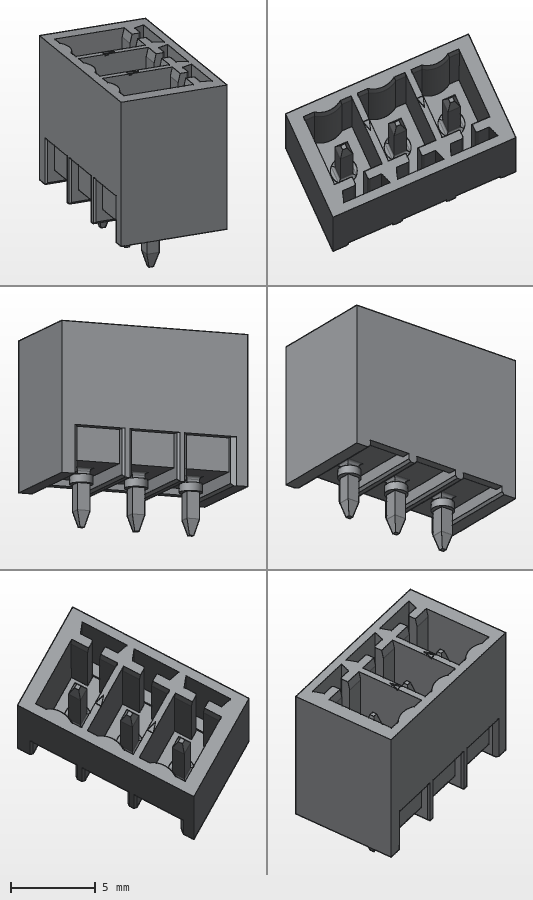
import cadquery as cq
import math


pole_count = 3
pitch = 3.5
length = 11.9
width = 6.9
height = 9.2
front_y = -width / 2
back_y = width / 2

floor_underside = 0.9
floor_thickness = 0.6
floor_top = floor_underside + floor_thickness
web_thickness = 0.4
cavity_half = (pitch - web_thickness) / 2
end_wall_draft = 0.05
cavity_front_y = -2.86
cavity_back_y = 1.67
lead_in = 0.13
lead_in_height = 0.57
bump_radius = 1.44
bump_crest_y = -2.58

keyway_back_y = 2.9
keyway_front_y = 2.21
keyway_back_half = 1.51
keyway_front_half = 1.26
neck_half = 0.4
neck_fillet = 0.12
keyway_floor_step = 0.24

arrow_length = 0.68
arrow_depth = 0.1

foot_web_half = 0.31
foot_end_x = 4.94
foot_chamfer = 0.15
recess_depth = 0.52
recess_top = 2.96
recess_bevel_x = 0.15
recess_bevel_y = 0.1
right_bevel_x = 0.3
right_bevel_y = 0.25
back_skirt_underside = 0.51

pin_y = -0.45
pin_half = 0.4
pin_top = 8.0
pin_bottom = -2.61
tip_half = 0.14
tip_length = 0.96
root_fillet = 0.18
seat_radius = 0.8
seat_rise = 0.05
seat_top = floor_top + seat_rise
collar_diameter = 1.39
collar_height = back_skirt_underside

pole_positions = [(i - (pole_count - 1) / 2) * pitch for i in range(pole_count)]
web_positions = [(a + b) / 2 for a, b in zip(pole_positions, pole_positions[1:])]


def box(x0, x1, y0, y1, z0, z1):
    return cq.Workplane("XY").box(x1 - x0, y1 - y0, z1 - z0, centered=False).translate((x0, y0, z0))


def prism_along_y(points, y0, y1):
    """Extrude an (x, z) outline from y0 to y1."""
    return cq.Workplane("XZ", origin=(0, y0, 0)).polyline(points).close().extrude(y0 - y1)


def prism_along_z(points, z0, z1):
    """Extrude an (x, y) outline from z0 to z1."""
    return cq.Workplane("XY", origin=(0, 0, z0)).polyline(points).close().extrude(z1 - z0)


def lead_in_rail(wall_y, inward):
    """Wall strip with a sloped top edge; inward is the Y direction into the cavity."""
    face_y = wall_y + inward * lead_in
    outline = [(wall_y, 0), (face_y, 0), (face_y, height - lead_in_height), (wall_y, height)]
    return (
        cq.Workplane("YZ", origin=(-length / 2, 0, 0))
        .polyline(outline)
        .close()
        .extrude(length)
    )


def bump(x):
    """Rounded rib on the front wall that narrows along the lead-in."""
    base_radius = bump_radius + lead_in
    outline = [
        (0, 0),
        (base_radius, 0),
        (base_radius, height - lead_in_height),
        (bump_radius, height),
        (0, height),
    ]
    rib = cq.Workplane("XZ").polyline(outline).close().revolve(360, (0, 0), (0, 1))
    return rib.translate((x, bump_crest_y - bump_radius, 0))


def cavity(x):
    """Plug space of one pole; only the housing end walls are drafted."""
    left_draft = end_wall_draft if x == pole_positions[0] else 0
    right_draft = end_wall_draft if x == pole_positions[-1] else 0
    outline = [
        (x - cavity_half + left_draft, floor_top),
        (x + cavity_half - right_draft, floor_top),
        (x + cavity_half, height),
        (x - cavity_half, height),
    ]
    space = prism_along_y(outline, cavity_front_y, cavity_back_y)
    space = space.cut(lead_in_rail(cavity_front_y, 1))
    space = space.cut(lead_in_rail(cavity_back_y, -1))
    return space.cut(bump(x))


def keyway(x):
    """Dovetail pocket on a raised floor, joined to the cavity by a neck with rounded corners."""
    neck_front_y = cavity_back_y - lead_in
    outline = [
        (-keyway_back_half, keyway_back_y),
        (-keyway_front_half, keyway_front_y),
        (-neck_half, keyway_front_y),
        (-neck_half, neck_front_y),
        (neck_half, neck_front_y),
        (neck_half, keyway_front_y),
        (keyway_front_half, keyway_front_y),
        (keyway_back_half, keyway_back_y),
    ]
    neck_corners = cq.selectors.BoxSelector(
        (-neck_half - neck_fillet, keyway_front_y - neck_fillet, floor_top),
        (neck_half + neck_fillet, keyway_front_y + neck_fillet, height),
    )
    slot = prism_along_z(outline, floor_top, height).edges("|Z").edges(neck_corners).fillet(neck_fillet)
    raised_floor = box(
        -keyway_back_half,
        keyway_back_half,
        keyway_front_y,
        keyway_back_y,
        floor_top,
        floor_top + keyway_floor_step,
    )
    return slot.cut(raised_floor).translate((x, 0, 0))


def arrow_mark(x):
    half = web_thickness / 2
    base_y = pin_y - arrow_length
    outline = [(x - half, base_y), (x + half, base_y), (x, pin_y)]
    return prism_along_z(outline, height - arrow_depth, height)


def foot_gap(left, right, top):
    """(x, z) outline of the gap between two feet, widened by their bottom chamfers."""
    return [
        (left - foot_chamfer, 0),
        (left, foot_chamfer),
        (left, top),
        (right, top),
        (right, foot_chamfer),
        (right + foot_chamfer, 0),
    ]


def underside_bay(x):
    """Space between the feet below one pole, with the recess in the front wall."""
    left = -foot_end_x if x == pole_positions[0] else x - pitch / 2 + foot_web_half
    is_last = x == pole_positions[-1]
    right = foot_end_x if is_last else x + pitch / 2 - foot_web_half
    bevel_x = right_bevel_x if is_last else recess_bevel_x
    bevel_y = right_bevel_y if is_last else recess_bevel_y
    skirt_front_y = keyway_back_y

    recess = [
        (left - recess_bevel_x, front_y),
        (left, front_y + recess_bevel_y),
        (left, front_y + recess_depth),
        (right, front_y + recess_depth),
        (right, front_y + bevel_y),
        (right + bevel_x, front_y),
    ]
    floor_space = foot_gap(left, right, floor_underside)
    skirt_space = foot_gap(left, right, back_skirt_underside)
    bay = prism_along_y(floor_space, front_y, skirt_front_y)
    bay = bay.union(prism_along_y(skirt_space, skirt_front_y, back_y))
    return bay.union(prism_along_z(recess, 0, recess_top))


def pin_profile(plane):
    """Pin side outline with pointed ends and coves at the floor and the seat, extruded thick."""
    root_half = pin_half + root_fillet
    cove_mid = root_half - root_fillet * math.sqrt(0.5)
    cove_rise = root_fillet * (1 - math.sqrt(0.5))
    return (
        cq.Workplane(plane)
        .moveTo(0, pin_bottom)
        .lineTo(tip_half, pin_bottom)
        .lineTo(pin_half, pin_bottom + tip_length)
        .lineTo(pin_half, floor_underside - root_fillet)
        .threePointArc((cove_mid, floor_underside - cove_rise), (root_half, floor_underside))
        .lineTo(root_half, seat_top)
        .threePointArc((cove_mid, seat_top + cove_rise), (pin_half, seat_top + root_fillet))
        .lineTo(pin_half, pin_top - tip_length)
        .lineTo(tip_half, pin_top)
        .lineTo(0, pin_top)
        .mirrorY()
        .extrude(root_half, both=True)
    )


def pin(x):
    """Square pin rooted in a low round seat on the cavity floor, with a collar below the floor."""
    root_clip = (
        cq.Workplane("XY", origin=(0, 0, pin_bottom))
        .circle(seat_radius)
        .extrude(pin_top - pin_bottom)
    )
    collar = cq.Workplane("XY").circle(collar_diameter / 2).extrude(collar_height)
    body = pin_profile("XZ").intersect(pin_profile("YZ")).intersect(root_clip)
    seat = (
        cq.Workplane("XY", origin=(0, 0, floor_underside))
        .circle(seat_radius)
        .extrude(seat_top - floor_underside)
    )
    return body.union(seat).union(collar).translate((x, pin_y, 0))


result = box(-length / 2, length / 2, front_y, back_y, 0, height)
for pole_x in pole_positions:
    result = result.cut(cavity(pole_x)).cut(keyway(pole_x)).cut(underside_bay(pole_x))
for web_x in web_positions:
    result = result.cut(arrow_mark(web_x))
for pole_x in pole_positions:
    result = result.union(pin(pole_x))